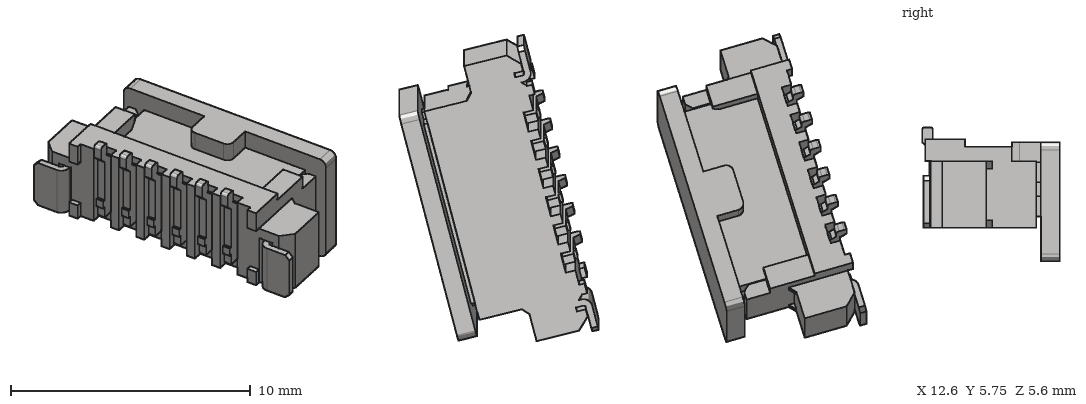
import cadquery as cq


HOUSING_HALF_WIDTH = 4.63
HOUSING_BOTTOM = 1.4
HOUSING_TOP = 5.11
HOUSING_REAR = 4.41
FRONT_WALL_DEPTH = 1.44
CORNER_BLOCK_REAR = 3.39
CORNER_BLOCK_TOP = 4.8
CORNER_BLOCK_INNER = 3.67
SIDE_WALL_TOP = 4.19
SIDE_WALL_INNER = 4.02
LEAD_IN = 0.25
UNDERCUT_DEPTH = 0.25
UNDERCUT_HEIGHT = 0.33

CONTACT_COUNT = 6
CONTACT_PITCH = 1.25
GROOVE_WIDTH = 0.85
GROOVE_DEPTH = 0.42
CONTACT_WIDTH = 0.34
CONTACT_BOTTOM = 1.86
CONTACT_TOP = 5.6
RAIL_FRONT = -0.06
TAIL_FRONT = -0.35
TAIL_REAR = 0.1
TAIL_SLOPE_TOP = 4.98
TAIL_FILLET = 0.11
SHOULDER_DROP = 0.2
BUMP_FRONT = -0.18
BUMP_BOTTOM = 2.37
BUMP_TOP = 2.75

FOOT_WIDTH = 0.43
FOOT_LENGTH = 0.23
LOWER_FOOT_HEIGHT = 0.68

WING_HALF_WIDTH = 6.11
WING_REAR = 2.33
WING_CHAMFER = 0.49
GUSSET_SIZE_X = 0.28
GUSSET_SIZE_Y = 0.25
GUSSET_HEIGHT = 0.32

CLIP_BOTTOM = HOUSING_BOTTOM
CLIP_TOP = 3.58
CLIP_OUTER = 6.32
CLIP_INNER = 4.83
CLIP_FRONT = -0.3
CLIP_THICKNESS = 0.28
CLIP_BEND_RADIUS = 0.37
CLIP_CHAMFER = 0.2
SLOT_INNER = 4.65
SLOT_OUTER = 5.29
SLOT_TOP = 3.7
SLOT_DEPTH = 0.38

FLANGE_HALF_WIDTH = 5.01
FLANGE_HEIGHT = 4.98
FLANGE_FRONT = 4.6
FLANGE_REAR = 5.4
FLANGE_RADIUS = 0.32
PLUG_HALF_WIDTH = 3.98
PLUG_BOTTOM = 1.87
PLUG_TOP = 4.15
KEY_HALF_WIDTH = 4.29
KEY_BOTTOM = 2.72
KEY_TOP = 3.31
TONGUE_HALF_WIDTH = 1.01
TONGUE_FRONT = CORNER_BLOCK_REAR
TONGUE_RADIUS = 0.3


def box(x_range, y_range, z_range):
    """Axis-aligned block given by its limits along X, Y and Z."""
    (x0, x1), (y0, y1), (z0, z1) = x_range, y_range, z_range
    return cq.Workplane("XY").box(x1 - x0, y1 - y0, z1 - z0, centered=False).translate((x0, y0, z0))


def plan_prism(points, bottom, top):
    """Prism standing on a polygon of (x, y) points."""
    return cq.Workplane("XY").workplane(offset=bottom).polyline(points).close().extrude(top - bottom)


def both_sides(right_solid):
    """The solid on the +X side together with its mirror image."""
    return right_solid.union(right_solid.mirror("YZ"))


def centred(half_width):
    return (-half_width, half_width)


def make_housing():
    full_width = centred(HOUSING_HALF_WIDTH)
    housing = box(full_width, (0, HOUSING_REAR), (HOUSING_BOTTOM, PLUG_TOP))
    housing = housing.union(box(full_width, (0, FRONT_WALL_DEPTH), (HOUSING_BOTTOM, HOUSING_TOP)))
    corner_block = box(
        (CORNER_BLOCK_INNER, HOUSING_HALF_WIDTH), (0, CORNER_BLOCK_REAR), (HOUSING_BOTTOM, CORNER_BLOCK_TOP)
    )
    side_wall = box(
        (SIDE_WALL_INNER, HOUSING_HALF_WIDTH), (0, HOUSING_REAR), (HOUSING_BOTTOM, SIDE_WALL_TOP)
    )
    housing = housing.union(both_sides(corner_block.union(side_wall)))

    lead_in_start = HOUSING_REAR - LEAD_IN
    clearance = plan_prism(
        [
            (PLUG_HALF_WIDTH, CORNER_BLOCK_REAR),
            (SIDE_WALL_INNER, CORNER_BLOCK_REAR),
            (SIDE_WALL_INNER, lead_in_start),
            (SIDE_WALL_INNER + LEAD_IN, HOUSING_REAR),
            (PLUG_HALF_WIDTH, HOUSING_REAR),
        ],
        KEY_TOP,
        SIDE_WALL_TOP,
    )

    undercut = (
        cq.Workplane("YZ")
        .workplane(offset=CORNER_BLOCK_INNER)
        .moveTo(CORNER_BLOCK_REAR, PLUG_TOP)
        .lineTo(CORNER_BLOCK_REAR - UNDERCUT_DEPTH, PLUG_TOP)
        .lineTo(CORNER_BLOCK_REAR, PLUG_TOP + UNDERCUT_HEIGHT)
        .close()
        .extrude(SIDE_WALL_INNER - CORNER_BLOCK_INNER)
    )
    return housing.cut(both_sides(clearance.union(undercut)))


def make_wing():
    """Right wing with a bevelled front corner and a gusset at the top and bottom of its rear."""
    wing = plan_prism(
        [
            (CORNER_BLOCK_INNER, 0),
            (WING_HALF_WIDTH - WING_CHAMFER, 0),
            (WING_HALF_WIDTH, WING_CHAMFER),
            (WING_HALF_WIDTH, WING_REAR),
            (CORNER_BLOCK_INNER, WING_REAR),
        ],
        HOUSING_BOTTOM,
        SIDE_WALL_TOP,
    )
    gusset_outline = [
        (HOUSING_HALF_WIDTH, WING_REAR),
        (HOUSING_HALF_WIDTH + GUSSET_SIZE_X, WING_REAR),
        (HOUSING_HALF_WIDTH, WING_REAR + GUSSET_SIZE_Y),
    ]
    for bottom in (HOUSING_BOTTOM, SIDE_WALL_TOP - GUSSET_HEIGHT):
        wing = wing.union(plan_prism(gusset_outline, bottom, bottom + GUSSET_HEIGHT))
    return wing


def make_clip_slot():
    """Right clip slot, open at the front and below, with its inner mouth corner bevelled at 45 degrees."""
    bevel = CLIP_INNER - SLOT_INNER
    return plan_prism(
        [
            (SLOT_INNER, 0),
            (SLOT_OUTER, 0),
            (SLOT_OUTER, SLOT_DEPTH),
            (CLIP_INNER, SLOT_DEPTH),
            (CLIP_INNER, bevel),
        ],
        HOUSING_BOTTOM,
        SLOT_TOP,
    )


def make_clip():
    """Right clip: an L-shaped strip whose short leg ends in the slot."""
    strip_rear = CLIP_FRONT + CLIP_THICKNESS
    leg_outer = CLIP_INNER + CLIP_THICKNESS
    clip = plan_prism(
        [
            (CLIP_INNER, CLIP_FRONT),
            (CLIP_OUTER, CLIP_FRONT),
            (CLIP_OUTER, strip_rear),
            (leg_outer, strip_rear),
            (leg_outer, SLOT_DEPTH),
            (CLIP_INNER, SLOT_DEPTH),
        ],
        CLIP_BOTTOM,
        CLIP_TOP,
    )
    mid_height = (CLIP_BOTTOM + CLIP_TOP) / 2
    outer_bend = cq.NearestToPointSelector((CLIP_INNER, CLIP_FRONT, mid_height))
    clip = clip.edges(outer_bend).fillet(CLIP_BEND_RADIUS)
    inner_bend = cq.NearestToPointSelector((leg_outer, strip_rear, mid_height))
    clip = clip.edges(inner_bend).fillet(CLIP_BEND_RADIUS - CLIP_THICKNESS)
    return clip.faces(">X").edges("|Y").chamfer(CLIP_CHAMFER)


def make_feet():
    """Right pair of feet: a tall one at the top and a short one at the bottom."""
    x_range = (HOUSING_HALF_WIDTH - FOOT_WIDTH, HOUSING_HALF_WIDTH)
    y_range = (-FOOT_LENGTH, FRONT_WALL_DEPTH)
    upper = box(x_range, y_range, (SIDE_WALL_TOP, HOUSING_TOP))
    lower = box(x_range, y_range, (HOUSING_BOTTOM, HOUSING_BOTTOM + LOWER_FOOT_HEIGHT))
    return upper.union(lower)


def make_contact(x_centre):
    """Vertical rail in a groove with a bump near its foot and a solder tail cranked forward."""
    tail_slope_bottom = TAIL_SLOPE_TOP - (RAIL_FRONT - TAIL_FRONT)
    shoulder_top = TAIL_SLOPE_TOP - SHOULDER_DROP
    side_profile = [
        (GROOVE_DEPTH, CONTACT_BOTTOM),
        (RAIL_FRONT, CONTACT_BOTTOM),
        (RAIL_FRONT, BUMP_BOTTOM),
        (BUMP_FRONT, BUMP_BOTTOM),
        (BUMP_FRONT, BUMP_TOP),
        (RAIL_FRONT, BUMP_TOP),
        (RAIL_FRONT, tail_slope_bottom),
        (TAIL_FRONT, TAIL_SLOPE_TOP),
        (TAIL_FRONT, CONTACT_TOP),
        (TAIL_REAR, CONTACT_TOP),
        (TAIL_REAR, TAIL_SLOPE_TOP),
        (TAIL_REAR + SHOULDER_DROP, shoulder_top),
        (GROOVE_DEPTH, shoulder_top),
    ]
    contact = cq.Workplane("YZ").polyline(side_profile).close().extrude(CONTACT_WIDTH / 2, both=True)
    contact = contact.faces(">Z").edges("|X").fillet(TAIL_FILLET)
    return contact.translate((x_centre, 0, 0))


def make_groove(x_centre):
    half_width = GROOVE_WIDTH / 2
    x_range = (x_centre - half_width, x_centre + half_width)
    return box(x_range, (0, GROOVE_DEPTH), (HOUSING_BOTTOM, HOUSING_TOP))


def make_cover():
    flange = box(centred(FLANGE_HALF_WIDTH), (FLANGE_FRONT, FLANGE_REAR), (0, FLANGE_HEIGHT))
    flange = flange.edges("|Y").fillet(FLANGE_RADIUS)
    plug_y = (CORNER_BLOCK_REAR, FLANGE_REAR)
    plug = box(centred(PLUG_HALF_WIDTH), plug_y, (PLUG_BOTTOM, PLUG_TOP))
    keys = box(centred(KEY_HALF_WIDTH), plug_y, (KEY_BOTTOM, KEY_TOP))
    tongue = box(centred(TONGUE_HALF_WIDTH), (TONGUE_FRONT, FLANGE_REAR), (PLUG_TOP, FLANGE_HEIGHT))
    tongue = tongue.edges("|Z and <Y").fillet(TONGUE_RADIUS)
    return flange.union(plug).union(keys).union(tongue)


contact_positions = [(i - (CONTACT_COUNT - 1) / 2) * CONTACT_PITCH for i in range(CONTACT_COUNT)]

result = make_housing()
result = result.union(both_sides(make_wing()))
result = result.cut(both_sides(make_clip_slot()))
result = result.union(both_sides(make_clip()))
result = result.union(both_sides(make_feet()))
for x_position in contact_positions:
    result = result.cut(make_groove(x_position))
    result = result.union(make_contact(x_position))
result = result.union(make_cover())